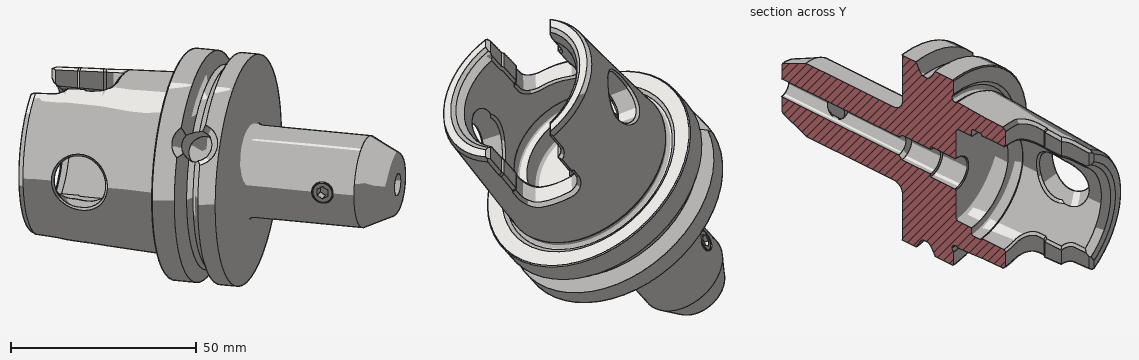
import cadquery as cq
import math

SHANK_LENGTH = 40.0
FLANGE_WIDTH = 18.0
NOSE_LENGTH = 42.0
FLANGE_RADIUS = 31.5
X_BACK = -SHANK_LENGTH
X_FRONT = FLANGE_WIDTH + NOSE_LENGTH

TAPER_BASE_X = -1.4
TAPER_BASE_RADIUS = 24.8
TAPER_SLOPE = 0.05
TIP_CHAMFER_LENGTH = 1.4
TIP_CHAMFER_HEIGHT = 0.7

NECK_STEP = 0.4
NECK_START_X = -0.8
RELIEF_DEPTH = 0.6
RELIEF_FLOOR_RADIUS = 25.7
RELIEF_OUTER_RADIUS = 26.8
FLANGE_EDGE_CHAMFER = 0.3

GROOVE_CENTRE_X = 9.8
GROOVE_MOUTH_HALF = 3.3
GROOVE_FLANK_HALF = 1.8
GROOVE_FLOOR_HALF = 0.9
GROOVE_FLOOR_RADIUS = 27.9
GROOVE_FLANK_RADIUS = 28.8

NOSE_RADIUS = 12.5
NOSE_FILLET = 3.0
NOSE_CONE_X = 51.4
NOSE_CONE_END_RADIUS = 8.4
NOSE_TIP_FILLET = 1.5

MOUTH_RADIUS = 20.0
MOUTH_STEP_RADIUS = 18.8
MOUTH_STEP_LENGTH = 0.7
MOUTH_CONE_LENGTH = 2.1
CAVITY_RADIUS = 17.4
UNDERCUT_START_X = -9.9
UNDERCUT_RADIUS = 18.0
LEDGE_X = -6.3
LEDGE_FILLET = 0.6
POCKET_RADIUS = 15.5
POCKET_FLOOR_X = -0.8
POCKET_FILLET = 1.2

COUNTERBORE_RADIUS = 5.1
COUNTERBORE_CHAMFER = 0.3
COUNTERBORE_END_X = 8.0
PILOT_RADIUS = 4.1
PILOT_END_X = 18.0
TOOL_RADIUS = 3.0

SLOT_END_X = -18.2
SLOT_HALF = 8.1
SLOT_RELIEF_HALF = 8.6
SLOT_MOUTH_HALF = 8.4
SLOT_CORNER_RADIUS = 4.2
SLOT_RELIEF_START_X = -25.1
SLOT_MOUTH_END_X = -32.6
SLOT_BLEND_LENGTH = 0.7
FLARE_LENGTH = 1.2
FLARE_WIDTH = 0.8
SLOT_OVERRUN = 2.0
SLOT_CHAMFER = 1.0
INNER_CHAMFER = 0.6
NOTCH_HALF = 10.1
NOTCH_END_X = -30.7
NOTCH_CORNER_RADIUS = 3.0

CROSS_HOLE_X = -22.5
CROSS_HOLE_RADIUS = 7.3
CROSS_HOLE_CHAMFER = 0.7
SEAT_START = 22.8
SEAT_LENGTH = 9.0
SEAT_ANGLE = 30.0

GRIPPER_X = 11.0
GRIPPER_ANGLE = 30.0
GRIPPER_RADIUS = 4.2
GRIPPER_FLOOR_RADIUS = 21.3
DRILL_POINT_ANGLE = 118.0
COUNTERSINK_RADIUS = 6.4
SMALL_GRIPPER_RADIUS = 3.7
GRIPPER_OVERRUN = 2.0

SCREW_X = 42.5
SCREW_RADIUS = 3.0
SCREW_HEAD_Y = -12.3
SCREW_TIP_Y = -1.8
SCREW_CHAMFER = 0.3
SOCKET_ACROSS_FLATS = 3.0
SOCKET_DEPTH = 3.0

RIM_TOLERANCE = 0.02
SAMPLE_POSITION = 0.4


def taper_radius(x):
    return TAPER_BASE_RADIUS + (x - TAPER_BASE_X) * TAPER_SLOPE


def revolve_about_x(profile):
    return profile.close().revolve(360, (0, 0, 0), (1, 0, 0))


def outer_body():
    tip_x = X_BACK + TIP_CHAMFER_LENGTH
    tip_radius = taper_radius(tip_x)
    groove = [
        (GROOVE_CENTRE_X - GROOVE_MOUTH_HALF, FLANGE_RADIUS),
        (GROOVE_CENTRE_X - GROOVE_FLANK_HALF, GROOVE_FLANK_RADIUS),
        (GROOVE_CENTRE_X - GROOVE_FLOOR_HALF, GROOVE_FLOOR_RADIUS),
        (GROOVE_CENTRE_X + GROOVE_FLOOR_HALF, GROOVE_FLOOR_RADIUS),
        (GROOVE_CENTRE_X + GROOVE_FLANK_HALF, GROOVE_FLANK_RADIUS),
        (GROOVE_CENTRE_X + GROOVE_MOUTH_HALF, FLANGE_RADIUS),
    ]
    neck_radius = TAPER_BASE_RADIUS - NECK_STEP
    arc_radius = RELIEF_FLOOR_RADIUS - neck_radius
    arc_rise = arc_radius * (1 - math.sqrt(0.5))
    profile = (
        cq.Workplane("XY")
        .moveTo(X_BACK, 0)
        .lineTo(X_BACK, tip_radius - TIP_CHAMFER_HEIGHT)
        .lineTo(tip_x, tip_radius)
        .lineTo(TAPER_BASE_X, TAPER_BASE_RADIUS)
        .lineTo(NECK_START_X, neck_radius)
        .lineTo(RELIEF_DEPTH - arc_radius, neck_radius)
        .threePointArc(
            (RELIEF_DEPTH - arc_rise, neck_radius + arc_rise),
            (RELIEF_DEPTH, RELIEF_FLOOR_RADIUS),
        )
        .lineTo(0, RELIEF_OUTER_RADIUS)
        .lineTo(0, FLANGE_RADIUS - FLANGE_EDGE_CHAMFER)
        .lineTo(FLANGE_EDGE_CHAMFER, FLANGE_RADIUS)
    )
    for point in groove:
        profile = profile.lineTo(*point)
    profile = (
        profile.lineTo(FLANGE_WIDTH, FLANGE_RADIUS)
        .lineTo(FLANGE_WIDTH, NOSE_RADIUS)
        .lineTo(NOSE_CONE_X, NOSE_RADIUS)
        .lineTo(X_FRONT, NOSE_CONE_END_RADIUS)
        .lineTo(X_FRONT, 0)
    )
    body = revolve_about_x(profile)
    reach = NOSE_RADIUS + RIM_TOLERANCE
    nose_root = cq.selectors.BoxSelector(
        (FLANGE_WIDTH - RIM_TOLERANCE, -reach, -reach),
        (FLANGE_WIDTH + RIM_TOLERANCE, reach, reach),
        boundingbox=True,
    )
    return body.edges(nose_root).fillet(NOSE_FILLET).faces(">X").edges().fillet(NOSE_TIP_FILLET)


def bore_and_cavity():
    cone_start_x = X_BACK + MOUTH_STEP_LENGTH
    undercut_depth = UNDERCUT_RADIUS - CAVITY_RADIUS
    ledge_arc_rise = LEDGE_FILLET * (1 - math.sqrt(0.5))
    arc_rise = POCKET_FILLET * (1 - math.sqrt(0.5))
    profile = (
        cq.Workplane("XY")
        .moveTo(X_BACK, 0)
        .lineTo(X_BACK, MOUTH_RADIUS)
        .lineTo(cone_start_x, MOUTH_STEP_RADIUS)
        .lineTo(cone_start_x + MOUTH_CONE_LENGTH, CAVITY_RADIUS)
        .lineTo(UNDERCUT_START_X, CAVITY_RADIUS)
        .lineTo(UNDERCUT_START_X + undercut_depth, UNDERCUT_RADIUS)
        .lineTo(LEDGE_X - LEDGE_FILLET, UNDERCUT_RADIUS)
        .threePointArc(
            (LEDGE_X - ledge_arc_rise, UNDERCUT_RADIUS - ledge_arc_rise),
            (LEDGE_X, UNDERCUT_RADIUS - LEDGE_FILLET),
        )
        .lineTo(LEDGE_X, POCKET_RADIUS)
        .lineTo(POCKET_FLOOR_X - POCKET_FILLET, POCKET_RADIUS)
        .threePointArc(
            (POCKET_FLOOR_X - arc_rise, POCKET_RADIUS - arc_rise),
            (POCKET_FLOOR_X, POCKET_RADIUS - POCKET_FILLET),
        )
        .lineTo(POCKET_FLOOR_X, COUNTERBORE_RADIUS + COUNTERBORE_CHAMFER)
        .lineTo(POCKET_FLOOR_X + COUNTERBORE_CHAMFER, COUNTERBORE_RADIUS)
        .lineTo(COUNTERBORE_END_X, COUNTERBORE_RADIUS)
        .lineTo(COUNTERBORE_END_X, PILOT_RADIUS)
        .lineTo(PILOT_END_X, PILOT_RADIUS)
        .lineTo(PILOT_END_X + PILOT_RADIUS - TOOL_RADIUS, TOOL_RADIUS)
        .lineTo(X_FRONT, TOOL_RADIUS)
        .lineTo(X_FRONT, 0)
    )
    return revolve_about_x(profile)


def slot_outline():
    """Drive slot with a relieved inner end and a wider notch at the mouth on the -Y side."""
    relief_x = SLOT_RELIEF_START_X + SLOT_BLEND_LENGTH
    corner_x = SLOT_END_X - SLOT_CORNER_RADIUS
    corner_y = SLOT_RELIEF_HALF - SLOT_CORNER_RADIUS
    diagonal = SLOT_CORNER_RADIUS * math.sqrt(0.5)
    notch_centre_x = NOTCH_END_X - NOTCH_CORNER_RADIUS
    notch_centre_y = NOTCH_CORNER_RADIUS - NOTCH_HALF
    notch_rise = -SLOT_HALF - notch_centre_y
    notch_angle = math.asin(notch_rise / NOTCH_CORNER_RADIUS)
    middle_angle = (notch_angle - math.pi / 2) / 2

    def notch_point(angle):
        return (
            notch_centre_x + NOTCH_CORNER_RADIUS * math.cos(angle),
            notch_centre_y + NOTCH_CORNER_RADIUS * math.sin(angle),
        )

    open_x = X_BACK - SLOT_OVERRUN
    return (
        cq.Workplane("XY", origin=(0, 0, -FLANGE_RADIUS))
        .moveTo(open_x, SLOT_MOUTH_HALF)
        .lineTo(SLOT_MOUTH_END_X, SLOT_MOUTH_HALF)
        .lineTo(SLOT_MOUTH_END_X + SLOT_BLEND_LENGTH, SLOT_HALF)
        .lineTo(SLOT_RELIEF_START_X, SLOT_HALF)
        .lineTo(relief_x, SLOT_RELIEF_HALF)
        .lineTo(corner_x, SLOT_RELIEF_HALF)
        .threePointArc((corner_x + diagonal, corner_y + diagonal), (SLOT_END_X, corner_y))
        .lineTo(SLOT_END_X, -corner_y)
        .threePointArc((corner_x + diagonal, -corner_y - diagonal), (corner_x, -SLOT_RELIEF_HALF))
        .lineTo(relief_x, -SLOT_RELIEF_HALF)
        .lineTo(SLOT_RELIEF_START_X, -SLOT_HALF)
        .lineTo(*notch_point(notch_angle))
        .threePointArc(notch_point(middle_angle), notch_point(-math.pi / 2))
        .lineTo(open_x, -NOTCH_HALF)
        .close()
    )


def mouth_flare():
    """Wedge that widens the slot on both sides just at the shank tip."""
    return (
        cq.Workplane("XY", origin=(0, 0, -FLANGE_RADIUS))
        .polyline([
            (X_BACK, SLOT_MOUTH_HALF + FLARE_WIDTH),
            (X_BACK + FLARE_LENGTH, SLOT_MOUTH_HALF),
            (X_BACK + FLARE_LENGTH, -NOTCH_HALF),
            (X_BACK, -NOTCH_HALF - FLARE_WIDTH),
        ])
        .close()
        .extrude(2 * FLANGE_RADIUS)
    )


def is_open_edge(edge, radius_at, x_start, x_end):
    """True for an edge lying on a round surface between two stations, seam lines excluded."""
    point = edge.positionAt(SAMPLE_POSITION)
    on_surface = abs(math.hypot(point.y, point.z) - radius_at(point.x)) < RIM_TOLERANCE
    is_between = x_start + RIM_TOLERANCE < point.x < x_end - RIM_TOLERANCE
    is_seam = abs(point.y) < RIM_TOLERANCE and edge.geomType() == "LINE"
    return on_surface and is_between and not is_seam


def outer_rim(edge):
    return is_open_edge(edge, taper_radius, X_BACK + TIP_CHAMFER_LENGTH, TAPER_BASE_X)


def inner_rim(edge):
    cavity_start_x = X_BACK + MOUTH_STEP_LENGTH + MOUTH_CONE_LENGTH
    return is_open_edge(edge, lambda x: CAVITY_RADIUS, cavity_start_x, UNDERCUT_START_X)


def chamfer_rim(body, in_rim, size):
    rim = [edge for edge in body.edges().vals() if in_rim(edge)]
    return body.newObject(rim).chamfer(size)


def cut_slot(body):
    slotted = body.cut(slot_outline().extrude(2 * FLANGE_RADIUS))
    slotted = chamfer_rim(slotted, outer_rim, SLOT_CHAMFER)
    return chamfer_rim(slotted, inner_rim, INNER_CHAMFER).cut(mouth_flare())


def cross_hole_cutter():
    return (
        cq.Workplane("XZ", origin=(CROSS_HOLE_X, FLANGE_RADIUS, 0))
        .circle(CROSS_HOLE_RADIUS)
        .extrude(2 * FLANGE_RADIUS)
    )


def ball_seat(side):
    """Oblique round cut that leans towards the shank tip as it goes inwards."""
    lean = SEAT_LENGTH * math.tan(math.radians(SEAT_ANGLE))
    seat = (
        cq.Workplane("XZ", origin=(CROSS_HOLE_X, -SEAT_START, 0))
        .circle(CROSS_HOLE_RADIUS)
        .workplane(offset=-SEAT_LENGTH)
        .center(-lean, 0)
        .circle(CROSS_HOLE_RADIUS)
        .loft()
    )
    return seat if side < 0 else seat.mirror("XZ")


def cut_cross_holes(body):
    def on_hole(edge):
        point = edge.positionAt(SAMPLE_POSITION)
        from_axis = math.hypot(point.x - CROSS_HOLE_X, point.z)
        return abs(from_axis - CROSS_HOLE_RADIUS) < RIM_TOLERANCE

    drilled = body.cut(cross_hole_cutter())
    drilled = chamfer_rim(drilled, lambda edge: on_hole(edge) and outer_rim(edge), CROSS_HOLE_CHAMFER)
    drilled = chamfer_rim(drilled, lambda edge: on_hole(edge) and inner_rim(edge), INNER_CHAMFER)
    for side in (-1, 1):
        drilled = drilled.cut(ball_seat(side))
    return drilled


def drilled_gripper_hole():
    """Countersunk hole with a conical bottom, standing on +Z through the flange rim."""
    point_height = GRIPPER_RADIUS / math.tan(math.radians(DRILL_POINT_ANGLE / 2))
    top = FLANGE_RADIUS + GRIPPER_OVERRUN
    countersink_bottom = FLANGE_RADIUS - (COUNTERSINK_RADIUS - GRIPPER_RADIUS)
    profile = (
        cq.Workplane("XZ")
        .moveTo(0, GRIPPER_FLOOR_RADIUS - point_height)
        .lineTo(GRIPPER_RADIUS, GRIPPER_FLOOR_RADIUS)
        .lineTo(GRIPPER_RADIUS, countersink_bottom)
        .lineTo(COUNTERSINK_RADIUS + GRIPPER_OVERRUN, top)
        .lineTo(0, top)
        .close()
    )
    return profile.revolve(360, (0, 0, 0), (0, 1, 0)).translate((GRIPPER_X, 0, 0))


def straight_gripper_hole():
    """Plain flat-bottomed hole, standing on +Z through the flange rim."""
    depth = FLANGE_RADIUS + GRIPPER_OVERRUN - GRIPPER_FLOOR_RADIUS
    hole = cq.Workplane("XY", origin=(GRIPPER_X, 0, GRIPPER_FLOOR_RADIUS))
    return hole.circle(SMALL_GRIPPER_RADIUS).extrude(depth)


def cut_gripper_holes(body):
    """Large hole on the -Y side and small hole on the +Y side, both rising towards +Z."""
    tilt = 90 - GRIPPER_ANGLE
    large = drilled_gripper_hole().rotate((0, 0, 0), (1, 0, 0), tilt)
    small = straight_gripper_hole().rotate((0, 0, 0), (1, 0, 0), -tilt)
    return body.cut(large).cut(small)


def screw_workplane():
    return cq.Workplane("XZ", origin=(SCREW_X, SCREW_TIP_Y, 0))


def cut_screw_hole(body):
    return body.cut(screw_workplane().circle(SCREW_RADIUS).extrude(NOSE_RADIUS + SCREW_TIP_Y))


def make_screw():
    socket_corner_diameter = SOCKET_ACROSS_FLATS / math.cos(math.pi / 6)
    screw = screw_workplane().circle(SCREW_RADIUS).extrude(SCREW_TIP_Y - SCREW_HEAD_Y)
    screw = screw.faces("<Y").edges().chamfer(SCREW_CHAMFER)
    return (
        screw.faces("<Y").workplane()
        .transformed(rotate=(0, 0, 90))
        .polygon(6, socket_corner_diameter)
        .cutBlind(-SOCKET_DEPTH)
    )


def make_holder():
    holder = outer_body().cut(bore_and_cavity())
    holder = cut_slot(holder)
    holder = cut_cross_holes(holder)
    holder = cut_gripper_holes(holder)
    return cut_screw_hole(holder)


holder = make_holder()
screw = make_screw()
result = cq.Compound.makeCompound([holder.solids().val(), screw.val()])